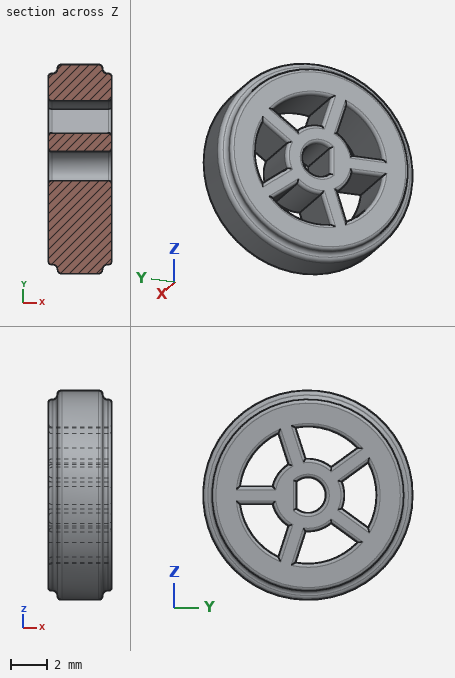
import cadquery as cq
import math

width = 3.5
tread_diameter = 11.5
shoulder_diameter = 10.5
tread_width = 2.5
edge_round = 0.2

spoke_count = 5
spoke_width = 1.0
hub_radius = 2.0
rim_inner_radius = 3.75

bore_radius = 0.97
flat_distance = 0.62

tread_radius = tread_diameter / 2
shoulder_radius = shoulder_diameter / 2
half_width = width / 2
half_tread = tread_width / 2
step_round = (tread_radius - shoulder_radius) / 2


def make_wheel_blank():
    """Revolve the stepped outline, drawn from the -X face to the +X face."""
    step_radius = tread_radius - step_round
    tread_flat_end = half_tread - step_round
    root_end = half_tread + step_round
    edge_start = half_width - edge_round
    edge_radius = shoulder_radius - edge_round
    return (
        cq.Workplane("XY")
        .moveTo(-half_width, 0)
        .lineTo(-half_width, edge_radius)
        .radiusArc((-edge_start, shoulder_radius), edge_round)
        .lineTo(-root_end, shoulder_radius)
        .radiusArc((-half_tread, step_radius), -step_round)
        .radiusArc((-tread_flat_end, tread_radius), step_round)
        .lineTo(tread_flat_end, tread_radius)
        .radiusArc((half_tread, step_radius), step_round)
        .radiusArc((root_end, shoulder_radius), -step_round)
        .lineTo(edge_start, shoulder_radius)
        .radiusArc((half_width, edge_radius), edge_round)
        .lineTo(half_width, 0)
        .close()
        .revolve(360, (0, 0, 0), (1, 0, 0))
    )


def make_window_cutter():
    """Ring between hub and rim, interrupted by the spokes; one spoke points to -Y."""
    cutter = (
        cq.Workplane("YZ")
        .circle(rim_inner_radius)
        .circle(hub_radius)
        .extrude(half_width, both=True)
    )
    spoke = (
        cq.Workplane("XY")
        .box(width, rim_inner_radius * 2, spoke_width)
        .translate((0, -rim_inner_radius, 0))
    )
    for index in range(spoke_count):
        angle = index * 360 / spoke_count
        cutter = cutter.cut(spoke.rotate((0, 0, 0), (1, 0, 0), angle))
    return cutter


def make_bore_cutter():
    """Round bore with a flat on the -Y side."""
    flat_half_height = math.sqrt(bore_radius**2 - flat_distance**2)
    return (
        cq.Workplane("YZ")
        .moveTo(-flat_distance, -flat_half_height)
        .threePointArc((bore_radius, 0), (-flat_distance, flat_half_height))
        .close()
        .extrude(half_width, both=True)
    )


def round_openings(disc):
    """Round the window and bore edges on both side faces."""
    opening_edges = []
    for side in ("<X", ">X"):
        for wire in disc.faces(side).val().innerWires():
            opening_edges.extend(wire.Edges())
    return disc.newObject(opening_edges).fillet(edge_round)


disc = cq.Workplane("YZ").circle(tread_radius).extrude(half_width, both=True)
spoked_disc = round_openings(disc.cut(make_window_cutter()).cut(make_bore_cutter()))
result = spoked_disc.intersect(make_wheel_blank())